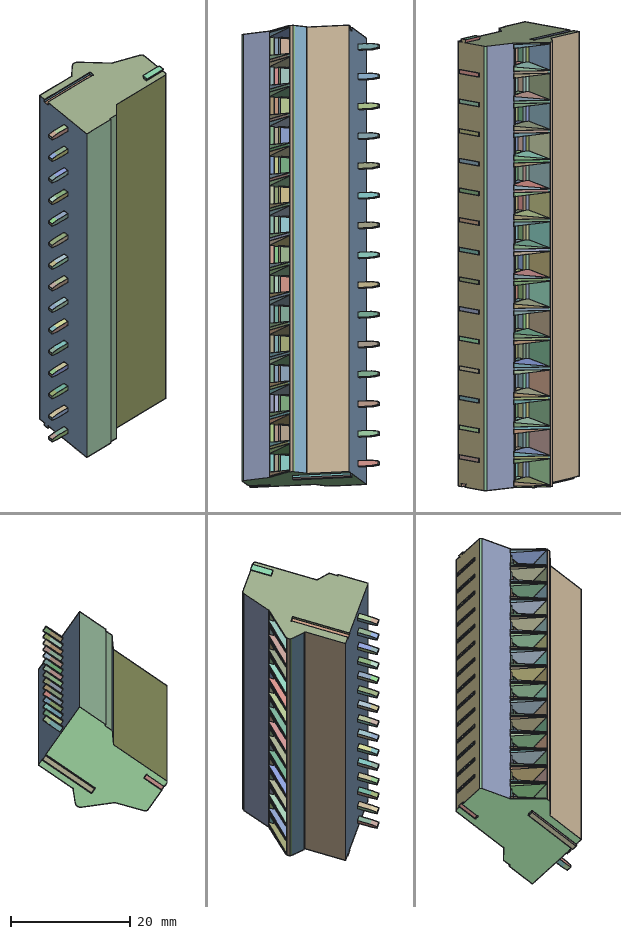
import cadquery as cq

POLES = 15
END_RAIL_HEIGHT = 0.55
TONGUE_HEIGHT = 0.6
TOTAL_LENGTH = 77.35
BODY_LENGTH = TOTAL_LENGTH - END_RAIL_HEIGHT - TONGUE_HEIGHT
PITCH = BODY_LENGTH / POLES

WIDTH = 14.2
PIN_LENGTH = 3.5
BASE_Y = PIN_LENGTH
BACK_Y = 23.0
BASE_LEFT_X = 2.1
NECK_RIGHT_X = 12.15
SLOPE_TOP = (4.1, 17.7)
SLOPE_BOTTOM = (0.15, 13.45)

HOUSING_OUTLINE = [
    (BASE_LEFT_X, BASE_Y),
    (WIDTH, BASE_Y),
    (WIDTH, 8.8),
    (14.0, 8.8),
    (14.0, 10.3),
    (NECK_RIGHT_X, 11.8),
    (NECK_RIGHT_X, 22.75),
    (11.9, BACK_Y),
    (6.1, BACK_Y),
    (5.8, 22.7),
    SLOPE_TOP,
    SLOPE_BOTTOM,
    (0, 13.15),
    (0, 12.6),
    (0.2, 12.3),
    (1.85, 10.75),
    (BASE_LEFT_X, 10.7),
]

ENTRY_Y_LOW = 13.2
ENTRY_WALL = 0.5
RECESS_CLEARANCE = 0.8
LEDGE_DEPTH = 0.15
LEDGE_WIDTH = 0.1
FUNNEL_FLOOR_X = 4.95
FUNNEL_FLOOR_INSET = 0.8
FUNNEL_CORNER_X = 0.2
FUNNEL_CORNER_Y = 0.5
SHELF_X = 4.5
SHELF_Y = 17.0
WIRE_HOLE_Y_LOW = 14.5
WIRE_HOLE_Y_HIGH = 16.3
WIRE_HOLE_LOW_HEIGHT = 2.8
WIRE_HOLE_HIGH_HEIGHT = 3.25
WIRE_HOLE_DEPTH = 1.15

PIN_X = 8.9
PIN_SIZE = 0.9
PIN_TIP_SIZE = 0.55
PIN_TIP_LENGTH = 1.15

TONGUE_X = 3.8
TONGUE_TOP_Y = 13.5
TONGUE_NECK = 0.85
TONGUE_HEAD = 1.15
TONGUE_BULGE_DEPTH = 0.4
RAIL_X = 10.75
RAIL_LOW_Y = 19.35
RAIL_NECK = 0.7
RAIL_HEAD = 1.1

RIB_HEIGHT = 0.15
RIB_THICKNESS = 0.7
RIB_X_START = 7.2
RIB_X_END = 11.6


def pole_z(index):
    return (index + 0.5) * PITCH


def extrude_along_y(points, y_start, y_end):
    """Extrude an XZ outline from y_start to y_end."""
    plane = cq.Workplane("XZ", origin=(0, y_start, 0))
    return plane.polyline(points).close().extrude(y_start - y_end)


def tongue(z_root):
    """Bulged tongue hanging below z_root, flush with the base face."""
    neck = TONGUE_NECK / 2
    head = TONGUE_HEAD / 2
    z_bulge = z_root - TONGUE_BULGE_DEPTH
    z_end = z_root - TONGUE_HEIGHT
    half = [(neck, z_root), (head, z_bulge), (neck, z_end)]
    points = [(TONGUE_X + x, z) for x, z in half]
    points += [(TONGUE_X - x, z) for x, z in reversed(half)]
    return extrude_along_y(points, BASE_Y, TONGUE_TOP_Y)


def end_rail(z_root):
    """Dovetail rail standing above z_root, flush with the back face."""
    z_head = z_root + END_RAIL_HEIGHT
    points = [
        (RAIL_X - RAIL_NECK / 2, z_root),
        (RAIL_X + RAIL_NECK / 2, z_root),
        (RAIL_X + RAIL_HEAD / 2, z_head),
        (RAIL_X - RAIL_HEAD / 2, z_head),
    ]
    return extrude_along_y(points, RAIL_LOW_Y, BACK_Y)


def wire_entry(z):
    """Cutter for one entry: a shallow recess, a drafted funnel with a shelf, and the wire hole."""
    opening = PITCH - ENTRY_WALL
    recess_outline = [
        (-RECESS_CLEARANCE, ENTRY_Y_LOW),
        (LEDGE_DEPTH, ENTRY_Y_LOW),
        (SLOPE_BOTTOM[0] + LEDGE_DEPTH, SLOPE_BOTTOM[1]),
        (SLOPE_TOP[0] + LEDGE_DEPTH, SLOPE_TOP[1]),
        (-RECESS_CLEARANCE, SLOPE_TOP[1]),
    ]
    recess_plane = cq.Workplane("XY", origin=(0, 0, z))
    recess = recess_plane.polyline(recess_outline).close().extrude(opening / 2, both=True)

    profile = [
        (0, ENTRY_Y_LOW),
        (FUNNEL_FLOOR_X - FUNNEL_CORNER_X, ENTRY_Y_LOW),
        (FUNNEL_FLOOR_X, ENTRY_Y_LOW + FUNNEL_CORNER_Y),
        (FUNNEL_FLOOR_X, SHELF_Y),
        (SHELF_X, SHELF_Y),
        (SHELF_X, SLOPE_TOP[1]),
        (0, SLOPE_TOP[1]),
    ]
    half_mouth = opening / 2 - LEDGE_WIDTH
    half_floor = half_mouth - FUNNEL_FLOOR_INSET
    side_walls = [
        (0, z - half_mouth),
        (FUNNEL_FLOOR_X, z - half_floor),
        (FUNNEL_FLOOR_X, z + half_floor),
        (0, z + half_mouth),
    ]
    funnel = recess_plane.polyline(profile).close().extrude(opening / 2, both=True)
    funnel = funnel.intersect(extrude_along_y(side_walls, ENTRY_Y_LOW, SLOPE_TOP[1]))

    hole_outline = [
        (WIRE_HOLE_Y_LOW, -WIRE_HOLE_LOW_HEIGHT / 2),
        (WIRE_HOLE_Y_HIGH, -WIRE_HOLE_HIGH_HEIGHT / 2),
        (WIRE_HOLE_Y_HIGH, WIRE_HOLE_HIGH_HEIGHT / 2),
        (WIRE_HOLE_Y_LOW, WIRE_HOLE_LOW_HEIGHT / 2),
    ]
    hole_plane = cq.Workplane("YZ", origin=(FUNNEL_FLOOR_X, 0, z))
    hole = hole_plane.polyline(hole_outline).close().extrude(WIRE_HOLE_DEPTH)
    return recess.union(funnel).union(hole)


def solder_pin(z):
    """Square pin below the base, its tip tapered in Z only."""
    half = PIN_SIZE / 2
    half_tip = PIN_TIP_SIZE / 2
    outline = [
        (BASE_Y, -half),
        (BASE_Y, half),
        (PIN_TIP_LENGTH, half),
        (0, half_tip),
        (0, -half_tip),
        (PIN_TIP_LENGTH, -half),
    ]
    return cq.Workplane("YZ", origin=(PIN_X, 0, z)).polyline(outline).close().extrude(half, both=True)


def back_rib(z):
    rib = cq.Workplane("XY").box(
        RIB_X_END - RIB_X_START, RIB_HEIGHT, RIB_THICKNESS, centered=(False, False, True)
    )
    return rib.translate((RIB_X_START, BACK_Y, z))


result = cq.Workplane("XY").polyline(HOUSING_OUTLINE).close().extrude(BODY_LENGTH)

result = result.cut(tongue(BODY_LENGTH)).cut(end_rail(0))
result = result.union(tongue(0)).union(end_rail(BODY_LENGTH))

for pole in range(POLES):
    result = result.cut(wire_entry(pole_z(pole)))
    result = result.union(solder_pin(pole_z(pole)))

for boundary in range(1, POLES):
    result = result.union(back_rib(boundary * PITCH))